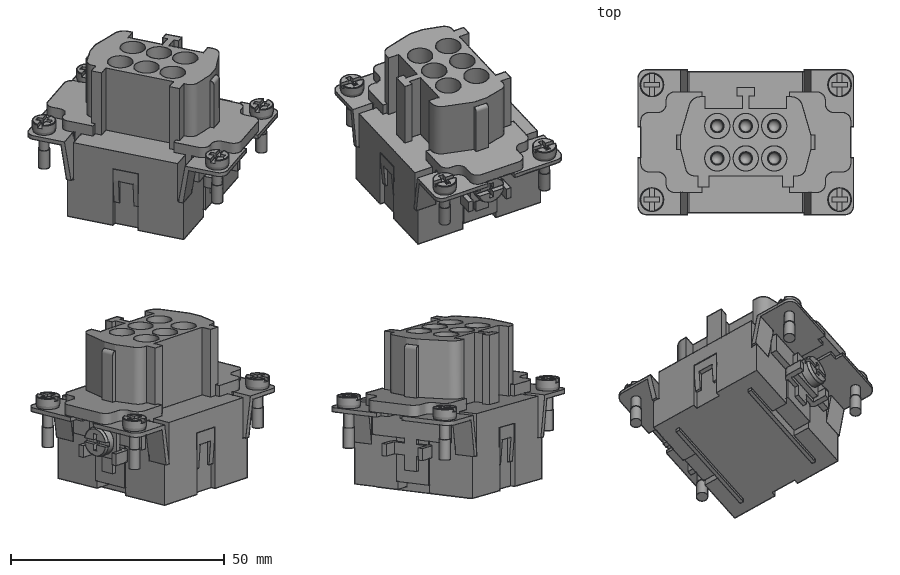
import cadquery as cq
import math

foot_bottom = 0.0
body_bottom = 1.0
shoulder_z = 20.95
plate_top = 23.65
tower_top = 37.5

body_half_x = 14.77
body_half_y = 16.5
foot_x = 10.3
foot_width = 0.9
foot_length = 26.05

bracket_end_x = 25.25
bracket_half_y = 16.995
bracket_thickness = 1.0
bracket_corner_radius = 2.0
bracket_bottom = shoulder_z - bracket_thickness
end_notch_half_y = 3.6
end_notch_x = 23.25
leg_bottom = 11.0
leg_lean = 1.65
leg_top_x = 15.3
leg_root_thickness_x = 0.9
leg_tip_thickness_x = 1.15
leg_pocket_x = 13.25

plate_end_x = 24.6
plate_half_y = 11.75
plate_inner_x = 10.25
plate_neck_x = 18.65
plate_neck_half_y = 6.95
plate_radius = 1.95

tower_half_x = 15.25
tower_back_y = 10.65
tower_front_y = -7.9
tower_back_slope = 0.29
tower_front_slope = 0.26
back_corner_radius = 2.7
front_corner_radius = 2.1
back_cut_half_x = 9.55
back_cut_y = 7.95
tab_inner_x = 8.6
tab_outer_x = 11.2
tab_front_y = -10.5
key_stem_width = 1.6
key_head_width = 4.05
key_head_y = 10.85
key_end_y = 12.85

contact_pitch_x = 6.65
contact_pitch_y = 7.6
hole_diameter = 5.9
hole_depth = 13.9
bore_diameter = 2.75
bore_mouth_diameter = 3.15
bore_depth = 7.6

rib_width = 3.35
rib_end_x = 16.2
rib_bottom = 6.1
rib_top = 36.0
rib_round = 0.95
pad_x = 15.25
pad_bottom = 3.0
pad_half_y = 4.45
pad_wide_half_y = 10.6
pad_wide_bottom = 13.7

fork_end_x = 19.7
fork_half_y = 5.7
fork_bend_radius = 1.35
fork_bottom = 9.7
fork_top = 12.55

earth_z = 14.5
washer_size = 8.3
washer_outer_x = 17.8
washer_inner_x = 16.45
washer_corner_radius = 0.4
earth_head_diameter = 7.1
earth_head_end_x = 20.6
earth_head_base_x = 18.05
earth_head_bevel_depth = 0.7
earth_head_bevel_width = 0.3
earth_shank_diameter = 3.55
earth_slot_width = 1.05
earth_slot_depth = 1.15
earth_cross_length = 4.05
earth_cross_width = 0.9
earth_cross_depth = 1.5

screw_x = 21.95
screw_y = 13.45
screw_head_diameter = 5.55
screw_rim_bevel = 0.15
screw_taper_height = 0.65
screw_taper_inset = 0.15
screw_neck_diameter = 2.4
screw_thread_diameter = 2.7
screw_thread_top = 16.05
screw_bottom = 11.2
screw_slot_width = 1.1
screw_slot_depth = 0.85
screw_cross_length = 3.65
screw_cross_depth = 1.2

latch_half_x = 3.205
latch_top = 16.05
latch_depth = 1.15
latch_header_depth = 0.15
latch_header_bottom = 12.95
latch_ramp_bottom = 6.95
latch_ramp_end_depth = 0.65
latch_ramp_width = 1.35


def box(x_range, y_range, z_range):
    """Box spanning the given (low, high) ranges."""
    x0, x1 = x_range
    y0, y1 = y_range
    z0, z1 = z_range
    return cq.Workplane("XY").box(x1 - x0, y1 - y0, z1 - z0, centered=False).translate((x0, y0, z0))


def both_ends(shape):
    """The shape together with its mirror image across X = 0."""
    return shape.union(shape.mirror("YZ"))


def both_sides(shape):
    """The shape together with its mirror image across Y = 0."""
    return shape.union(shape.mirror("XZ"))


def latch_recess():
    """Recess volume on the -Y side with a shallow header and two ramps."""
    face_y = -body_half_y
    floor_y = face_y + latch_depth
    header_y = face_y + latch_header_depth
    recess = box((-latch_half_x, latch_half_x), (face_y, floor_y), (body_bottom, latch_top))
    header = box((-latch_half_x, latch_half_x), (header_y, floor_y), (latch_header_bottom, latch_top))
    ramp = (
        cq.Workplane("YZ")
        .moveTo(floor_y, latch_ramp_bottom)
        .lineTo(face_y + latch_ramp_end_depth, latch_ramp_bottom)
        .lineTo(header_y, latch_header_bottom)
        .lineTo(floor_y, latch_header_bottom)
        .close()
        .extrude(latch_ramp_width)
        .translate((-latch_half_x, 0, 0))
    )
    return recess.cut(header).cut(both_ends(ramp))


def body():
    """Main block with feet, leg pockets, end notches and latch recesses."""
    block = box((-body_half_x, body_half_x), (-body_half_y, body_half_y), (body_bottom, shoulder_z))
    leg_pocket = box((leg_pocket_x, body_half_x), (plate_half_y, body_half_y), (leg_bottom, shoulder_z))
    end_notch = box(
        (foot_x + foot_width / 2, body_half_x), (-pad_half_y, pad_half_y), (body_bottom, pad_bottom)
    )
    foot = box(
        (foot_x - foot_width / 2, foot_x + foot_width / 2),
        (-foot_length / 2, foot_length / 2),
        (foot_bottom, body_bottom),
    )
    block = block.cut(both_sides(both_ends(leg_pocket))).cut(both_ends(end_notch))
    return block.cut(both_sides(latch_recess())).union(both_ends(foot))


def end_details():
    """Raised pads, terminal fork and guide rib on the +X end face."""
    pad = box((body_half_x, pad_x), (-pad_half_y, pad_half_y), (pad_bottom, pad_wide_bottom))
    wide_pad = box(
        (body_half_x, rib_end_x), (-pad_wide_half_y, pad_wide_half_y), (pad_wide_bottom, shoulder_z)
    )
    fork = (
        box((body_half_x, fork_end_x), (-fork_half_y, fork_half_y), (fork_bottom, fork_top))
        .edges("|Z and <X")
        .fillet(fork_bend_radius)
    )
    fork_gap = box((rib_end_x, fork_end_x), (-pad_half_y, pad_half_y), (fork_bottom, fork_top))
    rib = (
        box((body_half_x, rib_end_x), (-rib_width / 2, rib_width / 2), (rib_bottom, rib_top))
        .edges(">X and >Z")
        .fillet(rib_round)
    )
    return pad.union(wide_pad).union(fork.cut(fork_gap)).union(rib)


def bracket():
    """Flat bracket on the +X end with a stepped end notch and two leaning legs."""
    sheet = (
        box((leg_top_x, bracket_end_x), (-bracket_half_y, bracket_half_y), (bracket_bottom, shoulder_z))
        .edges("|Z and >X")
        .fillet(bracket_corner_radius)
    )
    end_notch = box(
        (end_notch_x, bracket_end_x), (-end_notch_half_y, end_notch_half_y), (bracket_bottom, shoulder_z)
    )
    rib_slot = box((rib_end_x, end_notch_x), (-rib_width / 2, rib_width / 2), (bracket_bottom, shoulder_z))
    leg = (
        cq.Workplane("XZ", origin=(0, bracket_half_y, 0))
        .moveTo(leg_top_x, shoulder_z)
        .lineTo(leg_top_x - leg_lean, leg_bottom)
        .lineTo(leg_top_x - leg_lean + leg_tip_thickness_x, leg_bottom)
        .lineTo(leg_top_x + leg_root_thickness_x, bracket_bottom)
        .lineTo(leg_top_x + leg_root_thickness_x, shoulder_z)
        .close()
        .extrude(bracket_half_y - plate_half_y)
    )
    return sheet.cut(end_notch).cut(rib_slot).union(both_sides(leg))


def plate():
    """Insulator plate on the +X end, stepped in around the mounting screws."""
    outline = [
        (plate_inner_x, plate_half_y),
        (plate_neck_x, plate_half_y),
        (plate_neck_x, plate_neck_half_y),
        (plate_end_x, plate_neck_half_y),
        (plate_end_x, -plate_neck_half_y),
        (plate_neck_x, -plate_neck_half_y),
        (plate_neck_x, -plate_half_y),
        (plate_inner_x, -plate_half_y),
    ]
    solid = cq.Workplane("XY", origin=(0, 0, shoulder_z)).polyline(outline).close().extrude(plate_top - shoulder_z)
    outer_edges = cq.selectors.BoxSelector(
        (plate_inner_x + 0.5, -plate_half_y - 0.5, 0), (plate_end_x + 0.5, plate_half_y + 0.5, tower_top)
    )
    return solid.edges("|Z").edges(outer_edges).fillet(plate_radius)


def contact_hole():
    """Wide hole from the tower top with a bevelled, round-ended bore in its floor, on the Z axis."""
    floor_z = tower_top - hole_depth
    bevel = (bore_mouth_diameter - bore_diameter) / 2
    bore_radius = bore_diameter / 2
    bore_end_z = floor_z - bore_depth
    return (
        cq.Workplane("XZ")
        .moveTo(0, tower_top)
        .lineTo(hole_diameter / 2, tower_top)
        .lineTo(hole_diameter / 2, floor_z)
        .lineTo(bore_mouth_diameter / 2, floor_z)
        .lineTo(bore_radius, floor_z - bevel)
        .lineTo(bore_radius, bore_end_z)
        .threePointArc(
            (bore_radius * math.sin(math.pi / 4), bore_end_z - bore_radius * math.cos(math.pi / 4)),
            (0, bore_end_z - bore_radius),
        )
        .close()
        .revolve(360, (0, 0, 0), (0, 1, 0))
    )


def tower():
    """Contact tower with tapered ends, front tabs, a back recess and a T-shaped key."""
    height = tower_top - shoulder_z
    flat_half_y = rib_width / 2
    back_corner_x = tower_half_x - tower_back_slope * (tower_back_y - flat_half_y)
    front_corner_x = tower_half_x - tower_front_slope * (-tower_front_y - flat_half_y)
    outline = [
        (-back_corner_x, tower_back_y),
        (back_corner_x, tower_back_y),
        (tower_half_x, flat_half_y),
        (tower_half_x, -flat_half_y),
        (front_corner_x, tower_front_y),
        (-front_corner_x, tower_front_y),
        (-tower_half_x, -flat_half_y),
        (-tower_half_x, flat_half_y),
    ]
    z_range = (shoulder_z, tower_top)
    core = (
        cq.Workplane("XY", origin=(0, 0, shoulder_z))
        .polyline(outline)
        .close()
        .extrude(height)
        .edges("|Z and >Y")
        .fillet(back_corner_radius)
        .edges("|Z and <Y")
        .fillet(front_corner_radius)
    )
    back_cut = box((-back_cut_half_x, back_cut_half_x), (back_cut_y, tower_back_y), z_range)
    tab = box((tab_inner_x, tab_outer_x), (tab_front_y, tower_front_y), z_range)
    key_stem = box((-key_stem_width / 2, key_stem_width / 2), (back_cut_y, key_end_y), z_range)
    key_head = box((-key_head_width / 2, key_head_width / 2), (key_head_y, key_end_y), z_range)
    return core.cut(back_cut).union(both_ends(tab)).union(key_stem).union(key_head)


def mounting_screw():
    """Cross-slotted cheese-head screw on the Z axis."""
    head_radius = screw_head_diameter / 2
    head = (
        cq.Workplane("XZ")
        .moveTo(0, shoulder_z)
        .lineTo(head_radius - screw_taper_inset, shoulder_z)
        .lineTo(head_radius, shoulder_z + screw_taper_height)
        .lineTo(head_radius, plate_top - screw_rim_bevel)
        .lineTo(head_radius - screw_rim_bevel, plate_top)
        .lineTo(0, plate_top)
        .close()
        .revolve(360, (0, 0, 0), (0, 1, 0))
    )
    half_slot = screw_slot_width / 2
    slot_z = (plate_top - screw_slot_depth, plate_top)
    cross_z = (plate_top - screw_cross_depth, plate_top)
    slot = box((-half_slot, half_slot), (-head_radius, head_radius), slot_z)
    cross = box((-screw_cross_length / 2, screw_cross_length / 2), (-half_slot, half_slot), cross_z)
    neck = (
        cq.Workplane("XY", origin=(0, 0, screw_thread_top))
        .circle(screw_neck_diameter / 2)
        .extrude(shoulder_z - screw_thread_top)
    )
    thread = (
        cq.Workplane("XY", origin=(0, 0, screw_bottom))
        .circle(screw_thread_diameter / 2)
        .extrude(screw_thread_top - screw_bottom)
    )
    return head.cut(slot).cut(cross).union(neck).union(thread)


def earth_screw():
    """Slotted earth screw with a square washer on the -X end."""
    head_radius = earth_head_diameter / 2
    axis_plane = cq.Workplane("YZ", origin=(0, 0, earth_z))
    washer = (
        axis_plane.workplane(offset=-washer_outer_x)
        .rect(washer_size, washer_size)
        .extrude(washer_outer_x - washer_inner_x)
        .edges("|X")
        .fillet(washer_corner_radius)
    )
    head = (
        cq.Workplane("XY")
        .moveTo(-earth_head_base_x, 0)
        .lineTo(-earth_head_base_x, head_radius)
        .lineTo(-earth_head_end_x + earth_head_bevel_depth, head_radius)
        .lineTo(-earth_head_end_x, head_radius - earth_head_bevel_width)
        .lineTo(-earth_head_end_x, 0)
        .close()
        .revolve(360, (0, 0, 0), (1, 0, 0))
        .translate((0, 0, earth_z))
    )
    slots = (
        axis_plane.workplane(offset=-earth_head_end_x)
        .rect(earth_head_diameter, earth_slot_width)
        .extrude(earth_slot_depth)
        .union(
            axis_plane.workplane(offset=-earth_head_end_x)
            .rect(earth_cross_width, earth_cross_length)
            .extrude(earth_cross_depth)
        )
    )
    shank = (
        axis_plane.workplane(offset=-earth_head_base_x)
        .circle(earth_shank_diameter / 2)
        .extrude(earth_head_base_x - body_half_x)
    )
    return head.cut(slots).union(washer).union(shank)


result = body().union(tower())
result = result.union(both_ends(bracket())).union(both_ends(plate())).union(both_ends(end_details()))
for x in (-contact_pitch_x, 0, contact_pitch_x):
    for y in (-contact_pitch_y / 2, contact_pitch_y / 2):
        result = result.cut(contact_hole().translate((x, y, 0)))
for x in (-screw_x, screw_x):
    for y in (-screw_y, screw_y):
        result = result.union(mounting_screw().translate((x, y, 0)))
result = result.union(earth_screw())